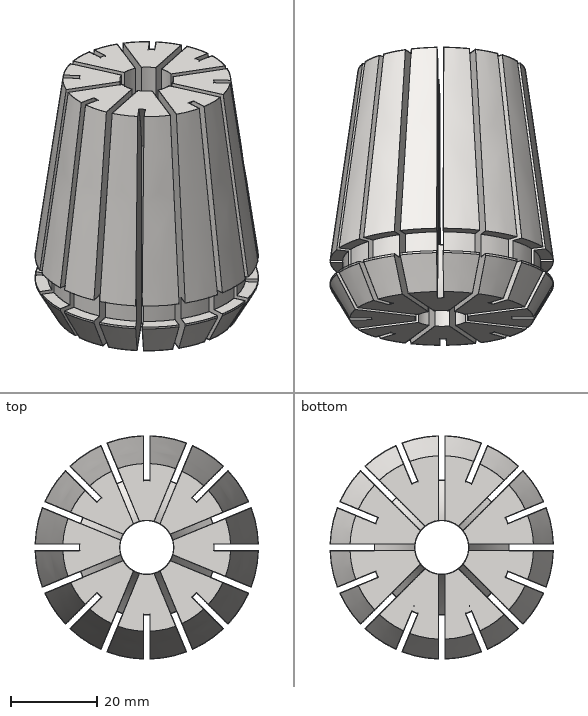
import cadquery as cq
import math

height = 60.0
outer_radius = 26.0
main_taper = 8.0
lower_taper = 30.0
bore_radius = 6.25
groove_radius = 23.05
groove_top = 14.0
groove_bottom = 8.5
lower_cone_top = 8.05

slots_per_end = 8
slot_width = 1.5
saw_radius = 33.6
top_slot_web = 16.2
top_slot_reach = 16.4
bottom_slot_web = 14.4
bottom_slot_reach = 15.65

top_radius = outer_radius - (height - groove_top) * math.tan(math.radians(main_taper))
bottom_radius = outer_radius - lower_cone_top * math.tan(math.radians(lower_taper))


def make_body():
    profile = [
        (bore_radius, 0),
        (bottom_radius, 0),
        (outer_radius, lower_cone_top),
        (outer_radius, groove_bottom),
        (groove_radius, groove_bottom),
        (groove_radius, groove_top),
        (outer_radius, groove_top),
        (top_radius, height),
        (bore_radius, height),
    ]
    return cq.Workplane("XZ").polyline(profile).close().revolve(360, (0, 0), (0, 1))


def make_slot(web, reach):
    """Slot along +X, open at the top, its floor curving down from the bore to the bottom face."""
    clear_radius = outer_radius + 0.6
    start_radius = math.sqrt(bore_radius**2 - (slot_width / 2) ** 2)
    return (
        cq.Workplane("XZ")
        .moveTo(start_radius, height)
        .lineTo(start_radius, web)
        .radiusArc((reach, 0), -saw_radius)
        .lineTo(clear_radius, 0)
        .lineTo(clear_radius, height)
        .close()
        .extrude(slot_width / 2, both=True)
    )


def turn_about_axis(shape, angle):
    return shape.rotate((0, 0, 0), (0, 0, 1), angle)


top_slot = make_slot(top_slot_web, top_slot_reach)
bottom_slot = make_slot(bottom_slot_web, bottom_slot_reach).mirror("XY").translate((0, 0, height))

result = make_body()
pitch = 360 / slots_per_end
for index in range(slots_per_end):
    result = result.cut(turn_about_axis(bottom_slot, index * pitch))
    result = result.cut(turn_about_axis(top_slot, (index + 0.5) * pitch))